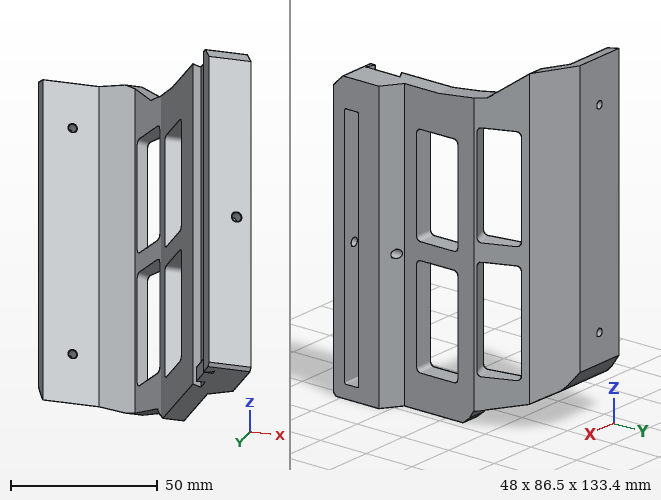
import cadquery as cq
import math

WIDTH = 48.0
DEPTH = 86.5
HEIGHT = 133.4

FLANGE_FRONT = 81.4
WALL_INNER = 33.0
WALL_OUTER = 40.5
OUTER_BEND = (33.1, 73.9)
INNER_BEND = (29.6, 71.0)
OUTER_WALL_START = 55.5
INNER_WALL_START = 52.5
FLANGE_OUTER_END = 21.3
FLANGE_INNER_END = 20.1
RAIL_BACK = 19.9
RAIL_TAPER_BACK = 25.1

GROOVE_FLOOR = 36.4
GROOVE_MOUTH = (6.3, 17.7)
GROOVE_ROOT = (5.0, 19.7)

TAB_FACE = 33.4
TAB_Y = (6.5, 15.1)
TAB_HEIGHT = 5.2

SLOT_BACK = 11.0
SLOT_Z = (5.5, 106.2)
SLOT_RADIUS = 0.5

SLANT_WINDOW_Y = (53.5, 69.4)
SLANT_WINDOW_Z = ((18.3, 60.2), (67.2, 109.3))
WALL_WINDOW_Y = (30.4, 48.4)
WALL_WINDOW_Z = ((13.7, 54.8), (61.8, 102.9))
WINDOW_RADIUS = 1.7

HOLE_CHAMFER = 0.2
FLANGE_HOLE_DIAMETER = 3.0
FLANGE_HOLE_X = 10.7
FLANGE_HOLE_Z = (32.7, 115.9)
RAIL_HOLE_DIAMETER = 3.3
RAIL_HOLE_X = 42.8
RAIL_HOLE_Z = 55.9

WALL_TOP = 118.0
TOP_CHAMFER = 4.1
BOTTOM_CHAMFER = 1.2
SIDE_OUTLINE = [
    (0, BOTTOM_CHAMFER),
    (BOTTOM_CHAMFER, 0),
    (50.7, 0),
    (53.6, 2.5),
    (55.2, 5.2),
    (73.6, 10.0),
    (FLANGE_FRONT, 14.4),
    (83.2, 16.4),
    (DEPTH, 21.2),
    (DEPTH, HEIGHT),
    (OUTER_BEND[1], 131.0),
    (59.8, 120.5),
    (40.2, WALL_TOP),
    (TOP_CHAMFER, WALL_TOP),
    (0, WALL_TOP - TOP_CHAMFER),
]


def bent_wall():
    """Constant plan section, trimmed top and bottom by the side outline."""
    section = [
        (0, DEPTH),
        (FLANGE_OUTER_END, DEPTH),
        OUTER_BEND,
        (WALL_OUTER, OUTER_WALL_START),
        (WALL_OUTER, RAIL_TAPER_BACK),
        (WIDTH, RAIL_BACK),
        (WIDTH, 0),
        (WALL_INNER, 0),
        (WALL_INNER, GROOVE_MOUTH[0]),
        (GROOVE_FLOOR, GROOVE_ROOT[0]),
        (GROOVE_FLOOR, GROOVE_ROOT[1]),
        (WALL_INNER, GROOVE_MOUTH[1]),
        (WALL_INNER, INNER_WALL_START),
        INNER_BEND,
        (FLANGE_INNER_END, FLANGE_FRONT),
        (0, FLANGE_FRONT),
    ]
    prism = cq.Workplane("XY").polyline(section).close().extrude(HEIGHT)
    side = cq.Workplane("YZ").polyline(SIDE_OUTLINE).close().extrude(WIDTH)
    return prism.intersect(side)


def block(x_range, y_range, z_range):
    size = [end - start for start, end in (x_range, y_range, z_range)]
    corner = (x_range[0], y_range[0], z_range[0])
    return cq.Workplane("XY").box(*size, centered=False).translate(corner)


def stop_tab():
    return block((TAB_FACE, GROOVE_FLOOR), TAB_Y, (0, TAB_HEIGHT))


def rail_slot():
    slot = block((GROOVE_FLOOR, WIDTH), (GROOVE_ROOT[0], SLOT_BACK), SLOT_Z)
    return slot.edges("|X").fillet(SLOT_RADIUS)


def wall_window(z_range):
    window = block((WALL_INNER, WALL_OUTER), WALL_WINDOW_Y, z_range)
    return window.edges("|X").fillet(WINDOW_RADIUS)


def slant_window(z_range):
    """Window cut square to the right face of the slanted stretch."""
    outer_run = OUTER_BEND[1] - OUTER_WALL_START
    tilt = math.atan2(WALL_OUTER - OUTER_BEND[0], outer_run)
    inner_run = INNER_BEND[1] - INNER_WALL_START
    inner_slope = (WALL_INNER - INNER_BEND[0]) / inner_run

    near_x, far_x = [WALL_INNER - (y - INNER_WALL_START) * inner_slope for y in SLANT_WINDOW_Y]
    along_x = far_x - near_x
    along_y = SLANT_WINDOW_Y[1] - SLANT_WINDOW_Y[0]
    length = along_y * math.cos(tilt) - along_x * math.sin(tilt)

    reach = WIDTH - WALL_INNER
    window = block((-reach, reach), (0, length), z_range).edges("|X").fillet(WINDOW_RADIUS)
    window = window.rotate((0, 0, 0), (0, 0, 1), math.degrees(tilt))
    return window.translate((near_x, SLANT_WINDOW_Y[0], 0))


def chamfered_hole(diameter, x, z, y_start, y_end):
    direction = cq.Vector(0, 1, 0)
    mouth = cq.Vector(x, y_start, z)
    radius = diameter / 2
    bore = cq.Solid.makeCylinder(radius, y_end - y_start, mouth, direction)
    countersink = cq.Solid.makeCone(radius + HOLE_CHAMFER, radius, HOLE_CHAMFER, mouth, direction)
    return cq.Workplane(bore).union(cq.Workplane(countersink))


result = bent_wall().union(stop_tab()).cut(rail_slot())
for z_range in WALL_WINDOW_Z:
    result = result.cut(wall_window(z_range))
for z_range in SLANT_WINDOW_Z:
    result = result.cut(slant_window(z_range))
for hole_z in FLANGE_HOLE_Z:
    result = result.cut(chamfered_hole(FLANGE_HOLE_DIAMETER, FLANGE_HOLE_X, hole_z, FLANGE_FRONT, DEPTH))
result = result.cut(chamfered_hole(RAIL_HOLE_DIAMETER, RAIL_HOLE_X, RAIL_HOLE_Z, 0, RAIL_TAPER_BACK))